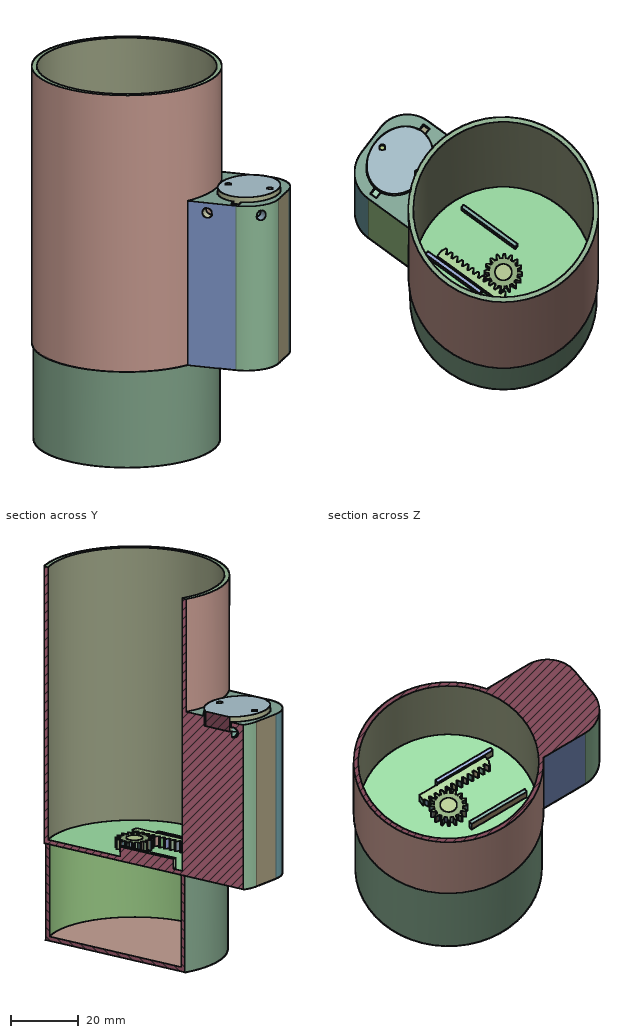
import cadquery as cq
import math

TOTAL_LENGTH = 77.0
TOTAL_HEIGHT = 116.0
BASE_HEIGHT = 29.9
WALL = 1.5

HOUSING_DIAMETER = 56.3
BASE_DIAMETER = 55.3
FLOOR_TOP = BASE_HEIGHT + WALL

BOSS_END_X = TOTAL_LENGTH - HOUSING_DIAMETER / 2
BOSS_WIDTH = 29.5
BOSS_TOP = 81.1
BOSS_CORNER_RADIUS = 10.0

SIDE_HOLE_DIAMETER = 3.0
SIDE_HOLE_DEPTH = 3.5
SIDE_HOLE_DROP = 3.1
SIDE_HOLE_Z = BOSS_TOP - SIDE_HOLE_DROP
FLAT_HOLE_X = 30.0
CORNER_HOLE_ANGLE = 45.0

LID_CENTER_X = 38.2
LID_SEMI_X = 9.0
LID_SEMI_Y = 10.9
LID_RISE = 1.5
LID_PLUG_DEPTH = 3.0
LID_CLEARANCE = 0.17
EAR_WIDTH = 2.0
EAR_REACH_Y = 13.0
EAR_DROP = 0.7
LID_HOLE_DIAMETER = 1.7
LID_HOLE_OFFSET = 6.5
LID_HOLE_DEPTH = LID_RISE

TOOTH_COUNT = 16
MODULE = 0.63
PITCH_RADIUS = MODULE * TOOTH_COUNT / 2
TOOTH_PITCH = math.pi * MODULE
ADDENDUM = MODULE
DEDENDUM = 1.1 * MODULE
GEAR_THICKNESS = 3.0
PEG_DIAMETER = 5.0
PRESSURE_ANGLE = math.radians(20)
GEAR_TOOTH_THINNING = 0.06
FLANK_STEPS = 4

RACK_START_X = -5.2
RACK_END_X = 18.6
RACK_BACK_Y = 7.8
RACK_FIRST_TOOTH = -2
RACK_LAST_TOOTH = 9

RAIL_START_X = 1.7
RAIL_LENGTH = 20.0
RAIL_THICKNESS = 1.2
RAIL_INNER_Y = 8.2
RAIL_HEIGHT = GEAR_THICKNESS


def cylinder(diameter, bottom, top):
    """Upright cylinder on the Z axis between two heights."""
    return cq.Workplane("XY", origin=(0, 0, bottom)).circle(diameter / 2).extrude(top - bottom)


def lid_shape(clearance, bottom, top, ear_top):
    """Upright oval with an ear on each Y side, grown by a clearance."""
    start = cq.Workplane("XY", origin=(LID_CENTER_X, 0, bottom))
    oval = start.ellipse(LID_SEMI_X + clearance, LID_SEMI_Y + clearance).extrude(top - bottom)
    ears = start.rect(EAR_WIDTH + 2 * clearance, 2 * (EAR_REACH_Y + clearance)).extrude(ear_top - bottom)
    return oval.union(ears)


def side_hole(x, y, angle):
    """Blind hole cutter entering the boss at (x, y), drilled against the outward angle in XY."""
    turn = math.radians(angle)
    outward = cq.Vector(math.cos(turn), math.sin(turn), 0)
    inner_end = cq.Vector(x, y, SIDE_HOLE_Z) - outward * SIDE_HOLE_DEPTH
    length = SIDE_HOLE_DEPTH + SIDE_HOLE_DIAMETER
    return cq.Solid.makeCylinder(SIDE_HOLE_DIAMETER / 2, length, inner_end, outward)


def make_boss():
    """Solid block with two rounded vertical edges, reaching in to the tube axis."""
    block = (
        cq.Workplane("XY", origin=(0, 0, BASE_HEIGHT))
        .rect(2 * BOSS_END_X, BOSS_WIDTH)
        .extrude(BOSS_TOP - BASE_HEIGHT)
        .edges("|Z")
        .fillet(BOSS_CORNER_RADIUS)
    )
    positive_half = cq.Workplane("XY").box(
        BOSS_END_X, BOSS_WIDTH, TOTAL_HEIGHT, centered=(False, True, False)
    )
    return block.intersect(positive_half)


def make_housing():
    """Cup with a floor, side boss, guide rails and gear peg."""
    outer = cylinder(HOUSING_DIAMETER, BASE_HEIGHT, TOTAL_HEIGHT)
    bore = cylinder(HOUSING_DIAMETER - 2 * WALL, FLOOR_TOP, TOTAL_HEIGHT)
    body = outer.union(make_boss()).cut(bore)

    recess = lid_shape(LID_CLEARANCE, BOSS_TOP - LID_PLUG_DEPTH, BOSS_TOP, BOSS_TOP)
    body = body.cut(recess)

    half_width = BOSS_WIDTH / 2
    turn = math.radians(CORNER_HOLE_ANGLE)
    corner_x = BOSS_END_X - BOSS_CORNER_RADIUS * (1 - math.cos(turn))
    corner_y = -half_width + BOSS_CORNER_RADIUS * (1 - math.sin(turn))
    body = body.cut(cq.Workplane(side_hole(FLAT_HOLE_X, -half_width, -90)))
    body = body.cut(cq.Workplane(side_hole(corner_x, corner_y, -CORNER_HOLE_ANGLE)))

    for side in (-1, 1):
        rail = (
            cq.Workplane("XY", origin=(0, 0, FLOOR_TOP))
            .center(RAIL_START_X + RAIL_LENGTH / 2, side * (RAIL_INNER_Y + RAIL_THICKNESS / 2))
            .rect(RAIL_LENGTH, RAIL_THICKNESS)
            .extrude(RAIL_HEIGHT)
        )
        body = body.union(rail)

    return body.union(cylinder(PEG_DIAMETER, FLOOR_TOP, FLOOR_TOP + GEAR_THICKNESS))


def make_base():
    """Cup below the housing, closed at the bottom."""
    cavity = cylinder(BASE_DIAMETER - 2 * WALL, WALL, BASE_HEIGHT)
    return cylinder(BASE_DIAMETER, 0, BASE_HEIGHT).cut(cavity)


def make_lid():
    """Oval lid standing proud of the boss, with two blind holes on its short axis."""
    top = BOSS_TOP + LID_RISE
    lid = lid_shape(0, BOSS_TOP - LID_PLUG_DEPTH, top, BOSS_TOP - EAR_DROP)
    for side in (-1, 1):
        hole_x = LID_CENTER_X + side * LID_HOLE_OFFSET
        hole = (
            cq.Workplane("XY", origin=(hole_x, 0, top - LID_HOLE_DEPTH))
            .circle(LID_HOLE_DIAMETER / 2)
            .extrude(LID_HOLE_DEPTH)
        )
        lid = lid.cut(hole)
    return lid


def involute_angle(radius):
    """Polar angle of the tooth flank's involute at a radius, zero up to the base circle."""
    base_radius = PITCH_RADIUS * math.cos(PRESSURE_ANGLE)
    roll = math.sqrt(max((radius / base_radius) ** 2 - 1, 0))
    return roll - math.atan(roll)


def make_gear():
    """Spur gear around the peg, with a tooth gap facing +Y."""
    root_radius = PITCH_RADIUS - DEDENDUM
    tip_radius = PITCH_RADIUS + ADDENDUM
    half_tooth = (TOOTH_PITCH / 4 - GEAR_TOOTH_THINNING) / PITCH_RADIUS
    radii = [
        root_radius + (tip_radius - root_radius) * step / FLANK_STEPS
        for step in range(FLANK_STEPS + 1)
    ]
    half_angles = [half_tooth + involute_angle(PITCH_RADIUS) - involute_angle(r) for r in radii]

    points = []
    for tooth in range(TOOTH_COUNT):
        middle = 2 * math.pi * (tooth + 0.5) / TOOTH_COUNT
        flank = list(zip(radii, half_angles))
        rising = [(r, middle - a) for r, a in flank]
        falling = [(r, middle + a) for r, a in reversed(flank)]
        points += [(r * math.cos(t), r * math.sin(t)) for r, t in rising + falling]

    gear = cq.Workplane("XY", origin=(0, 0, FLOOR_TOP)).polyline(points).close().extrude(GEAR_THICKNESS)
    return gear.cut(cylinder(PEG_DIAMETER, FLOOR_TOP, FLOOR_TOP + GEAR_THICKNESS))


def make_rack():
    """Straight rack along X whose teeth point to -Y into the gear."""
    root_y = PITCH_RADIUS + ADDENDUM
    tip_y = PITCH_RADIUS - ADDENDUM
    slope = ADDENDUM * math.tan(PRESSURE_ANGLE)
    half_root = TOOTH_PITCH / 4 + slope
    half_tip = half_root - 2 * slope

    points = [(RACK_START_X, RACK_BACK_Y), (RACK_START_X, root_y)]
    for tooth in range(RACK_FIRST_TOOTH, RACK_LAST_TOOTH + 1):
        middle = tooth * TOOTH_PITCH
        points += [(middle - half_root, root_y), (middle - half_tip, tip_y)]
        points += [(middle + half_tip, tip_y), (middle + half_root, root_y)]
    points += [(RACK_END_X, root_y), (RACK_END_X, RACK_BACK_Y)]
    return cq.Workplane("XY", origin=(0, 0, FLOOR_TOP)).polyline(points).close().extrude(GEAR_THICKNESS)


housing = make_housing()
base = make_base()
lid = make_lid()
gear = make_gear()
rack = make_rack()

bodies = [housing, base, lid, gear, rack]

result = cq.Compound.makeCompound([body.solids().val() for body in bodies])